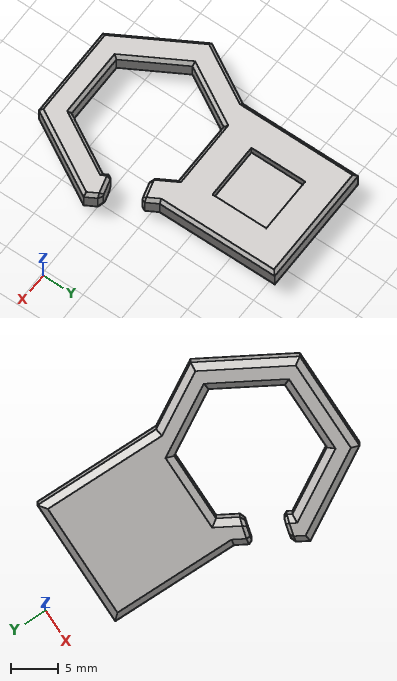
import cadquery as cq
import math

OVERALL_LENGTH = 32
THICKNESS = 3.0
HEXAGON_FLATS = 20.0
RING_WIDTH = 3.0
PLATE_SIDE = 15.0
POCKET_SIDE = 7.0
POCKET_DEPTH = 1.0
GAP_LOW = -1.12
GAP_HIGH = 2.88
GAP_ANGLE = 15
RIM_CHAMFER = 0.4
BOTTOM_CHAMFER = 0.8
TIP_CHAMFER = 0.4
TOLERANCE = 0.0003

outer_apothem = HEXAGON_FLATS / 2
inner_apothem = outer_apothem - RING_WIDTH
plate_top = OVERALL_LENGTH - outer_apothem
plate_center = plate_top - PLATE_SIDE / 2
gap_length = HEXAGON_FLATS


def hexagon(apothem):
    """Hexagonal prism centred on the origin with corners on the X axis."""
    across_corners = 2 * apothem / math.cos(math.radians(30))
    return cq.Workplane("XY").polygon(6, across_corners).extrude(THICKNESS)


def in_gap_frame(along, across):
    """Point given along and across the direction of the gap."""
    angle = math.radians(GAP_ANGLE)
    return (
        along * math.cos(angle) - across * math.sin(angle),
        along * math.sin(angle) + across * math.cos(angle),
    )


def make_gap():
    """Slanted slab that opens the right side of the hexagon."""
    corners = [
        in_gap_frame(0, GAP_LOW),
        in_gap_frame(gap_length, GAP_LOW),
        in_gap_frame(gap_length, GAP_HIGH),
        in_gap_frame(0, GAP_HIGH),
    ]
    return cq.Workplane("XY").polyline(corners).close().extrude(THICKNESS)


def is_gap_face(face):
    """True for a flat hook tip, which lies on either side of the gap."""
    angle = math.radians(GAP_ANGLE)
    center = face.Center()
    across = center.y * math.cos(angle) - center.x * math.sin(angle)
    parallel = abs(face.normalAt().dot(cq.Vector(*in_gap_frame(0, 0.32)))) > 0.32 - TOLERANCE
    on_side = min(abs(across - GAP_LOW), abs(across - GAP_HIGH)) < TOLERANCE
    return parallel and on_side


def chamfer_tips(body):
    """Bevel every edge around the two hook tips."""
    tips = [face for face in body.faces().vals() if is_gap_face(face)]
    return body.newObject(tips).edges().chamfer(TIP_CHAMFER)


plate = (
    cq.Workplane("XY")
    .center(0, plate_center)
    .rect(PLATE_SIDE, PLATE_SIDE)
    .extrude(THICKNESS)
)
body = plate.union(hexagon(outer_apothem)).cut(hexagon(inner_apothem)).clean()
body = body.faces("<Z").edges().chamfer(BOTTOM_CHAMFER)
body = body.faces(">Z").edges().chamfer(RIM_CHAMFER)
body = chamfer_tips(body.cut(make_gap()))

pocket = (
    cq.Workplane("XY")
    .workplane(offset=THICKNESS - POCKET_DEPTH)
    .center(0, plate_center)
    .rect(POCKET_SIDE, POCKET_SIDE)
    .extrude(POCKET_DEPTH)
)
result = body.cut(pocket)